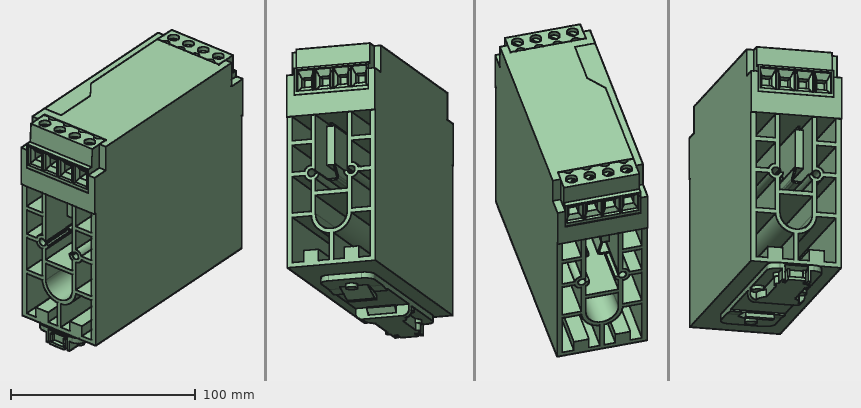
import cadquery as cq

width = 50.6
height = 131.7
head_depth = 130.0
body_inset = 1.0
head_bottom = 93.5
body_bottom = 9.5
half_width = width / 2
mid_y = head_depth / 2
body_front = body_inset
body_depth = head_depth - 2 * body_inset

wall = 3.0
web = 2.5
cell_half_width = half_width - wall
floor_top = body_bottom + 2.6
channel_half_width = 9.1
channel_outer = channel_half_width + web
arch_z = 38.5
crossbar_z = 49.9
side_web_levels = (78.9, 61.4, 38.6)
foot_inner = 7.4
foot_outer = 15.8
foot_top = 18.3

eye_x = 11.3
eye_z = side_web_levels[1]
eye_radius = 4.2
eye_bore = 2.1
eye_slot_bottom = 61.0
eye_slot_top = 62.3
spring_front = 19.8
spring_length = head_depth - 2 * spring_front
spring_gauge = 0.9
plate_inner = 4.5
plate_bottom = 69.9
plate_top = 91.5
pin_x = 6.7
spring_path = [(4.9, 70.2), (3.0, 63.7), (3.0, 62.5), (3.8, 61.8), (9.4, 61.8), (11.0, 63.1), (13.0, 62.2)]

corner_depth = 9.9
corner_bottom = 116.7
block_width = 42.3
block_x = -0.3
block_end = 15.7
block_step_z = 120.4
block_step = 3.0
block_lean = 0.7
back_block_inset = 0.4
seam_step = 0.1
block_bottom = 105.4
block_top = height - seam_step
groove_width = 0.4
groove_depth = 2.6
pole_pitch = 10.3
pole_count = 4
pole_xs = [block_x + (i - (pole_count - 1) / 2) * pole_pitch for i in range(pole_count)]
scallop_radius = 2.5
scallop_reach = 2.1
screw_y = 8.7
screw_radius = 3.0
screw_recess = 2.6
screw_slot = 0.9
screw_slot_depth = 0.8
screw_slot_turn = -45
well_width = 9.2
well_bottom = 107.5
well_top = 119.3
well_depth = 2.0
well_taper = 1.6
wire_width = 5.7
wire_bottom = 110.1
wire_top = 115.4
wire_depth = 5.3

strip_step = seam_step / 2
strip_inner = block_x - block_width / 2
strip_bulge = -13.8
strip_front = 20.5
bulge_start = 46.1
bulge_end = 56.4

plate_half_width = 15.3
plate_length = 106.8
plate_underside = 6.2
plate_corner = 5.8
latch_length = 44.8
latch_half_width = 8.0
hook_front = 40.2
hook_round = 3.5
collar_bottom = 4.1
collar_y = 36.7
collar_radius = 3.4
guide_y = 10.0
guide_radius = 2.6
guide_collar_radius = 3.2
guide_x = 7.2
shoulder_radius = 8.0
shoulder_x = 3.8
window_half_width = 6.5
window_depth = 5.3
tab_half_width = 5.0
tab_recess_half_width = 3.8
tab_recess_bottom = 1.6
tab_recess_depth = 2.0
lip_reach = 0.7
lip_height = 1.7
latch_nose_reach = 2.6
latch_nose_bottom = 2.0
latch_nose_tip = (5.3, 5.8)
window_slope_top = 8.4
stud_y = 95.4
stud_radius = 3.3
tongue_half_width = 7.9
tongue_root_y = 92.2
tongue_tip_y = 76.6
tongue_tip_top = 4.1
tongue_tip_bottom = 1.6
tongue_toe_y = 79.8
wedge_back_y = 88.9
wedge_front_y = 80.6
wedge_bottom = 5.1


def box(x0, x1, y0, y1, z0, z1):
    return cq.Workplane("XY").box(x1 - x0, y1 - y0, z1 - z0, centered=False).translate((x0, y0, z0))


def along_y(sketch_plane_y):
    """Workplane whose local axes are X and Z and whose extrusions run towards +Y."""
    return cq.Workplane(cq.Plane((0, sketch_plane_y, 0), (1, 0, 0), (0, -1, 0)))


def extrude_y(sketch, length):
    return sketch.extrude(-length)


def mirrored_x(shape):
    return shape.union(shape.mirror("YZ"))


def to_back(shape):
    """Copy of a front-end feature turned round to the back end."""
    return shape.mirror("XZ", (0, mid_y, 0))


def body_box(x0, x1, z0, z1):
    return box(x0, x1, body_front, body_front + body_depth, z0, z1)


def make_head():
    head = box(-half_width, half_width, 0, head_depth, head_bottom, height)
    corner = box(-half_width, half_width, 0, corner_depth, corner_bottom, height)
    return head.cut(corner).cut(to_back(corner))


def make_cover_strip_cut():
    outline = [
        (-half_width, strip_front),
        (strip_bulge, strip_front),
        (strip_bulge, bulge_start),
        (strip_inner, bulge_end),
        (strip_inner, head_depth),
        (-half_width, head_depth),
    ]
    return cq.Workplane("XY", (0, 0, height - strip_step)).polyline(outline).close().extrude(strip_step)


def make_webbed_body():
    outer = body_box(-half_width, half_width, body_bottom, head_bottom)
    outer = outer.cut(body_box(-cell_half_width, cell_half_width, floor_top, head_bottom))

    def channel(radius):
        profile = (
            along_y(body_front).moveTo(-radius, head_bottom).lineTo(-radius, arch_z)
            .threePointArc((0, arch_z - radius), (radius, arch_z)).lineTo(radius, head_bottom).close()
        )
        return extrude_y(profile, body_depth)

    for z in side_web_levels:
        outer = outer.union(body_box(-cell_half_width, cell_half_width, z - web / 2, z + web / 2))
    outer = outer.union(body_box(-web / 2, web / 2, floor_top, arch_z - channel_half_width))
    outer = outer.union(channel(channel_outer)).cut(channel(channel_half_width))
    outer = outer.union(mirrored_x(body_box(foot_inner, foot_outer, floor_top, foot_top)))
    return outer.union(
        body_box(-channel_half_width, channel_half_width, crossbar_z - web / 2, crossbar_z + web / 2)
    )


def add_hinge_eyes(body):
    def cylinder(radius):
        return extrude_y(along_y(body_front).center(eye_x, eye_z).circle(radius), body_depth)

    above_lip = body_box(0, channel_half_width, eye_slot_bottom, eye_z + eye_radius)
    slot = body_box(0, eye_x, eye_slot_bottom, eye_slot_top)
    body = body.union(mirrored_x(cylinder(eye_radius).cut(above_lip)))
    return body.cut(mirrored_x(cylinder(eye_bore).union(slot)))


def make_springs():
    spring_end = spring_front + spring_length
    plate = box(plate_inner, channel_half_width, spring_front, spring_end, plate_bottom, plate_top)
    pin = box(
        pin_x - spring_gauge / 2, pin_x + spring_gauge / 2, spring_front, spring_end, plate_top, head_bottom
    )
    strip = along_y(spring_front).polyline(spring_path).offset2D(spring_gauge / 2)
    return mirrored_x(plate.union(pin).union(extrude_y(strip, spring_length)))


def make_terminal_block(face_y, lean):
    """Terminal block at the front end; face_y is its lower face, lean its slope towards the top."""
    profile = [
        (face_y, block_bottom),
        (face_y, block_step_z),
        (block_step, block_step_z),
        (block_step + lean, block_top),
        (block_end, block_top),
        (block_end, block_bottom),
    ]
    block = cq.Workplane("YZ").polyline(profile).close().extrude(block_width)
    block = block.translate((block_x - block_width / 2, 0, 0))
    groove = box(
        block_x - block_width / 2, block_x + block_width / 2,
        block_end - groove_width, block_end, height - groove_depth, height
    )
    block = block.cut(groove)
    for x in pole_xs:
        block = block.cut(make_pole(x, face_y))
    return block


def make_pole(x, face_y):
    """Everything cut away for one pole: screw hole, scallop and wire entry."""
    hole = cq.Workplane("XY", (x, screw_y, height - screw_recess)).circle(screw_radius).extrude(screw_recess)
    slot = (
        cq.Workplane("XY", (0, 0, height - screw_recess - screw_slot_depth))
        .rect(2 * screw_radius, screw_slot).extrude(screw_slot_depth)
        .rotate((0, 0, 0), (0, 0, 1), screw_slot_turn).translate((x, screw_y, 0))
    )
    scallop = (
        cq.Workplane("XY", (x, block_end + scallop_radius - scallop_reach, height - groove_depth))
        .circle(scallop_radius).extrude(groove_depth)
        .intersect(box(x - scallop_radius, x + scallop_radius, 0, block_end, 0, height))
    )
    well_z = (well_bottom + well_top) / 2
    wire_z = (wire_bottom + wire_top) / 2
    funnel_y = face_y + well_depth
    wire_y = funnel_y + well_taper
    mouth = box(x - well_width / 2, x + well_width / 2, face_y, funnel_y, well_bottom, well_top)
    funnel = (
        along_y(funnel_y).center(x, well_z).rect(well_width, well_top - well_bottom)
        .workplane(offset=-well_taper).center(0, wire_z - well_z).rect(wire_width, wire_top - wire_bottom)
        .loft(ruled=True)
    )
    wire_hole = box(
        x - wire_width / 2, x + wire_width / 2, wire_y, wire_y + wire_depth, wire_bottom, wire_top
    )
    return hole.union(slot).union(scallop).union(mouth).union(funnel).union(wire_hole)


def make_block_pocket(face_y):
    """Room in the head for a terminal block, open towards the end face."""
    half = block_width / 2
    return box(block_x - half, block_x + half, face_y, block_end, block_bottom, height)


def make_rail_plate():
    plate = box(-plate_half_width, plate_half_width, 0, plate_length, plate_underside, body_bottom)
    plate = plate.edges("|Z").fillet(plate_corner)
    stud = cq.Workplane("XY", (0, stud_y, collar_bottom)).circle(stud_radius).extrude(
        plate_underside - collar_bottom
    )
    wedge_profile = [
        (wedge_back_y, plate_underside),
        (wedge_front_y, plate_underside),
        (wedge_front_y, wedge_bottom),
    ]
    wedge = cq.Workplane("YZ").polyline(wedge_profile).close().extrude(plate_half_width, both=True)
    tongue_profile = [
        (tongue_root_y, plate_underside),
        (wedge_front_y, plate_underside),
        (wedge_front_y, wedge_bottom),
        (tongue_tip_y, tongue_tip_top),
        (tongue_tip_y, tongue_tip_bottom),
        (tongue_toe_y, tongue_tip_bottom),
    ]
    tongue = cq.Workplane("YZ").polyline(tongue_profile).close().extrude(tongue_half_width, both=True)
    return plate.union(stud).union(wedge).union(tongue)


def make_latch():
    latch = box(-latch_half_width, latch_half_width, 0, latch_length, 0, plate_underside)

    hook = box(-plate_half_width, plate_half_width, hook_front, latch_length, 0, plate_underside)
    hook = hook.edges("|Y and <Z").fillet(hook_round)
    nose_profile = [
        (latch_length, latch_nose_bottom),
        (latch_length + latch_nose_reach, latch_nose_tip[0]),
        (latch_length + latch_nose_reach, latch_nose_tip[1]),
        (latch_length, plate_underside),
    ]
    nose = cq.Workplane("YZ").polyline(nose_profile).close().extrude(latch_half_width, both=True)
    latch = latch.union(hook).union(nose)

    def upright(x, y, radius, z0, z1):
        return cq.Workplane("XY", (x, y, z0)).circle(radius).extrude(z1 - z0)

    collar_x = plate_half_width - collar_radius
    collar = upright(collar_x, collar_y, collar_radius, collar_bottom, plate_underside)
    collar = collar.union(box(0, collar_x, collar_y, hook_front, collar_bottom, plate_underside))
    shoulder = upright(shoulder_x, hook_front, shoulder_radius, 0, collar_bottom)
    shoulder = shoulder.intersect(box(0, plate_half_width, 0, hook_front, 0, collar_bottom))
    guide = upright(guide_x, guide_y, guide_radius, 0, collar_bottom)
    guide_collar = upright(guide_x, guide_y, guide_collar_radius, collar_bottom, plate_underside)
    latch = latch.union(mirrored_x(collar.union(shoulder).union(guide).union(guide_collar)))

    window_profile = [(0, 0), (window_depth, 0), (window_depth, plate_underside), (0, window_slope_top)]
    window = cq.Workplane("YZ").polyline(window_profile).close().extrude(window_half_width, both=True)
    tab = box(-tab_half_width, tab_half_width, 0, window_depth, 0, plate_underside)
    tab = tab.cut(
        box(-tab_recess_half_width, tab_recess_half_width, 0, tab_recess_depth,
            tab_recess_bottom, plate_underside)
    )
    lip = box(-tab_half_width, tab_half_width, -lip_reach, tab_recess_depth, 0, lip_height)
    return latch, window, tab.union(lip)


head = make_head().cut(make_cover_strip_cut())
housing = add_hinge_eyes(make_webbed_body()).union(head).union(make_springs())
front_block = make_terminal_block(seam_step, block_lean)
back_block = to_back(make_terminal_block(back_block_inset, 0))
housing = housing.cut(make_block_pocket(0)).union(front_block)
housing = housing.cut(to_back(make_block_pocket(0))).union(back_block)

latch, latch_window, latch_tab = make_latch()
rail_foot = make_rail_plate().union(latch).cut(latch_window).union(latch_tab)
result = housing.union(rail_foot)